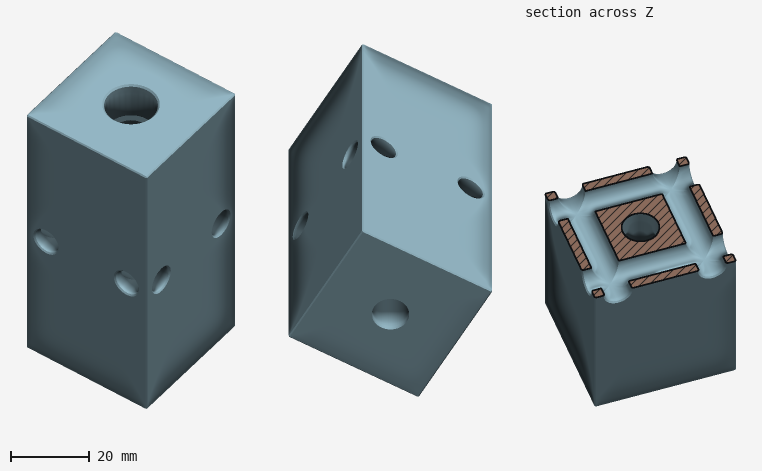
import cadquery as cq

height = 82.55
width = 38.1
edge_chamfer = 0.3

bore_diameter = 9.5
socket_depth = 10.3
socket_bottom_diameter = 13.1
socket_top_diameter = 13.7
socket_mouth_diameter = 14.6

cross_hole_diameter = 7.3
cross_hole_mouth_diameter = 8.0
cross_hole_spacing = 25.4


def chamfered_block():
    """Square block centred on the origin with every outer edge broken."""
    return cq.Workplane("XY").box(width, width, height).edges().chamfer(edge_chamfer)


def turned_cutter(half_profile):
    """Solid turned about the Z axis from (radius, z) points."""
    turned = cq.Workplane("XZ").polyline(half_profile).close()
    return turned.revolve(360, (0, 0, 0), (0, 1, 0))


def stepped_bore():
    """Through bore with a tapered socket at the top, its mouth flared at 45 degrees."""
    top = height / 2
    flare = (socket_mouth_diameter - socket_top_diameter) / 2
    return turned_cutter([
        (0, -top),
        (bore_diameter / 2, -top),
        (bore_diameter / 2, top - socket_depth),
        (socket_bottom_diameter / 2, top - socket_depth),
        (socket_top_diameter / 2, top - flare),
        (socket_mouth_diameter / 2, top),
        (0, top),
    ])


def cross_hole_pair():
    """Two parallel through holes running along Y, flared at 45 degrees at both ends."""
    end = width / 2
    radius = cross_hole_diameter / 2
    mouth_radius = cross_hole_mouth_diameter / 2
    flare = mouth_radius - radius
    hole = turned_cutter([
        (0, -end),
        (mouth_radius, -end),
        (radius, flare - end),
        (radius, end - flare),
        (mouth_radius, end),
        (0, end),
    ]).rotate((0, 0, 0), (1, 0, 0), 90)
    left_hole = hole.translate((-cross_hole_spacing / 2, 0, 0))
    right_hole = hole.translate((cross_hole_spacing / 2, 0, 0))
    return left_hole.union(right_hole)


result = chamfered_block().cut(stepped_bore())
for turn in (0, 90):
    result = result.cut(cross_hole_pair().rotate((0, 0, 0), (0, 0, 1), turn))